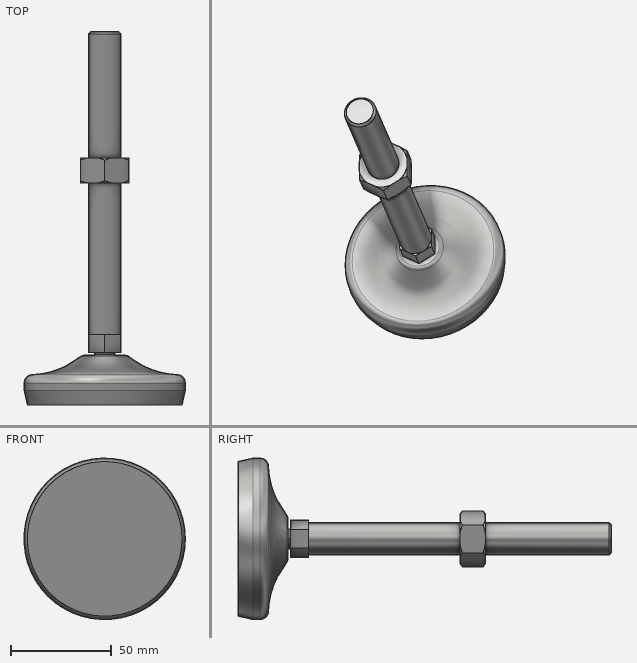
import cadquery as cq
import math

total_length = 185.0
full_turn = 360.0
hexagon_sides = 6
hexagon_half_sector = full_turn / hexagon_sides / 2

pad_diameter = 80.0
underside_diameter = 76.6
taper_height = 7.3
rim_height = 10.8
shoulder_radius = 4.3
dome_edge_radius = 12.0
dome_edge_height = 24.0
dome_mid_radius = 18.6
dome_mid_height = 19.7
crown_radius = 10.0
crown_height = 24.7

stud_diameter = 16.0
stud_chamfer = 1.2
neck_diameter = 10.0
hex_start = 26.0
hex_length = 9.0
hex_end = hex_start + hex_length

nut_start = 110.0
nut_height = 12.5
nut_across_flats = 24.0
nut_face_diameter = 24.5
nut_chamfer_angle = 35.0


def cylinder(diameter, start, end):
    """Cylinder on the Y axis between two Y positions."""
    plane = cq.Workplane("XZ", origin=(0, start, 0))
    return plane.circle(diameter / 2).extrude(start - end)


def hexagon(across_flats, start, length):
    """Hexagonal prism on the Y axis with flats on +X and -X and corners on +Z and -Z."""
    corner_diameter = across_flats / math.cos(math.radians(hexagon_half_sector))
    plane = cq.Workplane("XZ", origin=(0, start, 0))
    prism = plane.polygon(hexagon_sides, corner_diameter).extrude(-length)
    return prism.rotate((0, 0, 0), (0, 1, 0), hexagon_half_sector)


def revolve_about_y(profile):
    return profile.close().revolve(full_turn, (0, 0, 0), (0, 1, 0))


def make_pad():
    """Pad with a tapered base, a straight rim, a round shoulder and a concave dome."""
    rim_radius = pad_diameter / 2
    shoulder_centre = rim_radius - shoulder_radius
    shoulder_top = rim_height + shoulder_radius
    profile = (
        cq.Workplane("XY")
        .lineTo(underside_diameter / 2, 0)
        .lineTo(rim_radius, taper_height)
        .lineTo(rim_radius, rim_height)
        .radiusArc((shoulder_centre, shoulder_top), -shoulder_radius)
        .threePointArc((dome_mid_radius, dome_mid_height), (dome_edge_radius, dome_edge_height))
        .tangentArcPoint((crown_radius, crown_height), relative=False)
        .lineTo(0, crown_height)
    )
    return revolve_about_y(profile)


def make_stud():
    """Neck, wrench hexagon and plain stud with a chamfered end."""
    neck = cylinder(neck_diameter, crown_height, hex_start)
    wrench_hex = hexagon(stud_diameter, hex_start, hex_length)
    shank = cylinder(stud_diameter, hex_end, total_length).faces(">Y").chamfer(stud_chamfer)
    return neck.union(wrench_hex).union(shank)


def make_nut():
    """Hexagonal nut whose corners are cut by a cone at each end."""
    face_radius = nut_face_diameter / 2
    corner_radius = nut_across_flats / 2 / math.cos(math.radians(hexagon_half_sector))
    chamfer_depth = (corner_radius - face_radius) * math.tan(math.radians(nut_chamfer_angle))
    nut_end = nut_start + nut_height
    envelope = (
        cq.Workplane("XY")
        .moveTo(0, nut_start)
        .lineTo(face_radius, nut_start)
        .lineTo(corner_radius, nut_start + chamfer_depth)
        .lineTo(corner_radius, nut_end - chamfer_depth)
        .lineTo(face_radius, nut_end)
        .lineTo(0, nut_end)
    )
    return hexagon(nut_across_flats, nut_start, nut_height).intersect(revolve_about_y(envelope))


result = make_pad().union(make_stud()).union(make_nut())